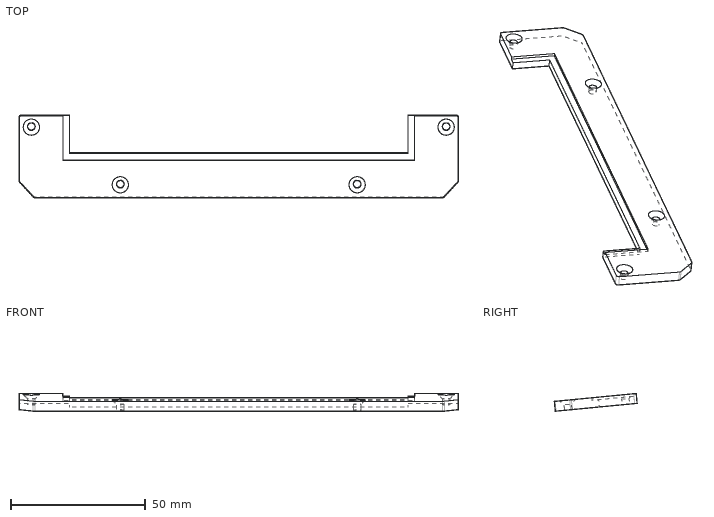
import cadquery as cq
import math

length = 163.5
thickness = 3.8
tilt = 5.5
overall_depth = 30.9
tilt_radians = math.radians(tilt)
plate_depth = (overall_depth - thickness * math.sin(tilt_radians)) / math.cos(tilt_radians)
half_length = length / 2

arm_width = 18.8
bar_depth = 16.5
corner_cut_x = 5.5
corner_cut_y = 6.0
corner_radius = 1.0

ledge_width = 2.5
ledge_drop = 1.0

hole_diameter = 2.8
countersink_diameter = 6.0
countersink_angle = 90.0
arm_hole_inset_x = 4.5
arm_hole_inset_y = 4.3
bar_hole_spacing = 88.1
bar_hole_inset = 4.9


def make_plate():
    """U-shaped plate with cut front corners and rounded outer edges."""
    inner_x = half_length - arm_width
    front_x = half_length - corner_cut_x
    plate = (
        cq.Workplane("XY")
        .polyline([
            (-front_x, 0),
            (front_x, 0),
            (half_length, corner_cut_y),
            (half_length, plate_depth),
            (inner_x, plate_depth),
            (inner_x, bar_depth),
            (-inner_x, bar_depth),
            (-inner_x, plate_depth),
            (-half_length, plate_depth),
            (-half_length, corner_cut_y),
        ])
        .close()
        .extrude(thickness)
    )
    outer_corners = [(front_x, 0), (half_length, corner_cut_y), (half_length, plate_depth)]
    for x, y in outer_corners:
        for side in (-1, 1):
            nearest_edge = cq.selectors.NearestToPointSelector((side * x, y, thickness / 2))
            plate = plate.edges("|Z").edges(nearest_edge).fillet(corner_radius)
    return plate


def make_ledge_cut():
    """Block that lowers the top face around the U opening."""
    cut_length = length - 2 * (arm_width - ledge_width)
    cut_front = bar_depth - ledge_width
    return (
        cq.Workplane("XY")
        .box(cut_length, plate_depth, ledge_drop, centered=(True, False, False))
        .translate((0, cut_front, thickness - ledge_drop))
    )


def add_screw_holes(plate):
    """Two holes in the arms and two in the bar, countersunk from the top."""
    arm_hole_x = half_length - arm_hole_inset_x
    arm_hole_y = plate_depth - arm_hole_inset_y
    bar_hole_x = bar_hole_spacing / 2
    return (
        plate.faces(">Z")
        .workplane(origin=(0, 0, thickness))
        .pushPoints([
            (-arm_hole_x, arm_hole_y),
            (arm_hole_x, arm_hole_y),
            (-bar_hole_x, bar_hole_inset),
            (bar_hole_x, bar_hole_inset),
        ])
        .cskHole(hole_diameter, countersink_diameter, countersink_angle)
    )


flat_plate = add_screw_holes(make_plate().cut(make_ledge_cut()))
result = flat_plate.rotate((0, 0, 0), (1, 0, 0), tilt)